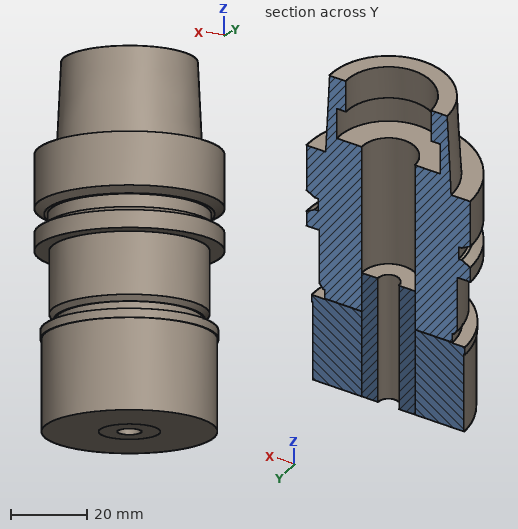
import cadquery as cq

TOTAL_HEIGHT = 100.0
SHOULDER_Z = 75.0
GROOVE_TOP_Z = 60.4
GROOVE_BOTTOM_Z = 53.7
FLANGE_BOTTOM_Z = 48.9
BODY_BOTTOM_Z = 31.8
NUT_TOP_Z = 27.4
NUT_COLLAR_BOTTOM_Z = 25.0

FLANGE_RADIUS = 25.0
TAPER_TOP_RADIUS = 18.0
TAPER_BASE_RADIUS = 19.2
GROOVE_RADIUS = 21.5
BODY_RADIUS = 21.1
NECK_RADIUS = 19.5
NUT_COLLAR_RADIUS = 23.4
NUT_RADIUS = 23.1

GROOVE_BEVEL_WIDTH = 2.6
GROOVE_BEVEL_HEIGHT = 1.5
BODY_BEVEL_WIDTH = 1.2
BODY_BEVEL_HEIGHT = 1.5

SOCKET_RADIUS = 13.0
SOCKET_LIP_DEPTH = 10.0
UNDERCUT_RADIUS = 15.7
SOCKET_DEPTH = 19.4

COLLET_RADIUS = 8.1
COLLET_TOP_Z = 40.0
TOOL_BORE_RADIUS = 3.2

SOCKET_FLOOR_Z = TOTAL_HEIGHT - SOCKET_DEPTH


def revolve_profile(points):
    """Turn a closed outline of (radius, height) points about the Z axis."""
    return cq.Workplane("XZ").polyline(points).close().revolve(360, (0, 0, 0), (0, 1, 0))


def cylinder(radius, bottom_z, top_z):
    return cq.Workplane("XY").workplane(offset=bottom_z).circle(radius).extrude(top_z - bottom_z)


def make_socket():
    """Space inside the taper: straight lip, then a wider undercut."""
    lip_z = TOTAL_HEIGHT - SOCKET_LIP_DEPTH
    return revolve_profile([
        (0, TOTAL_HEIGHT),
        (SOCKET_RADIUS, TOTAL_HEIGHT),
        (SOCKET_RADIUS, lip_z),
        (UNDERCUT_RADIUS, lip_z),
        (UNDERCUT_RADIUS, SOCKET_FLOOR_Z),
        (0, SOCKET_FLOOR_Z),
    ])


def make_holder():
    """Tool holder with taper, grooved flange, body and neck."""
    groove_bevel_radius = FLANGE_RADIUS - GROOVE_BEVEL_WIDTH
    groove_floor_top_z = GROOVE_TOP_Z - GROOVE_BEVEL_HEIGHT
    groove_floor_bottom_z = GROOVE_BOTTOM_Z + GROOVE_BEVEL_HEIGHT
    neck_top_z = BODY_BOTTOM_Z - BODY_BEVEL_HEIGHT
    outside = revolve_profile([
        (0, TOTAL_HEIGHT),
        (TAPER_TOP_RADIUS, TOTAL_HEIGHT),
        (TAPER_BASE_RADIUS, SHOULDER_Z),
        (FLANGE_RADIUS, SHOULDER_Z),
        (FLANGE_RADIUS, GROOVE_TOP_Z),
        (groove_bevel_radius, groove_floor_top_z),
        (GROOVE_RADIUS, groove_floor_top_z),
        (GROOVE_RADIUS, groove_floor_bottom_z),
        (groove_bevel_radius, groove_floor_bottom_z),
        (FLANGE_RADIUS, GROOVE_BOTTOM_Z),
        (FLANGE_RADIUS, FLANGE_BOTTOM_Z),
        (BODY_RADIUS, FLANGE_BOTTOM_Z),
        (BODY_RADIUS, BODY_BOTTOM_Z),
        (BODY_RADIUS - BODY_BEVEL_WIDTH, neck_top_z),
        (NECK_RADIUS, neck_top_z),
        (NECK_RADIUS, NUT_TOP_Z),
        (0, NUT_TOP_Z),
    ])
    collet_bore = cylinder(COLLET_RADIUS, NUT_TOP_Z, SOCKET_FLOOR_Z)
    return outside.cut(make_socket()).cut(collet_bore)


def make_nut():
    """Clamping nut with a low collar at its top and a plain through bore."""
    skirt = cylinder(NUT_RADIUS, 0, NUT_COLLAR_BOTTOM_Z)
    collar = cylinder(NUT_COLLAR_RADIUS, NUT_COLLAR_BOTTOM_Z, NUT_TOP_Z)
    collet_bore = cylinder(COLLET_RADIUS, 0, NUT_TOP_Z)
    return skirt.union(collar).cut(collet_bore)


def make_collet():
    """Straight sleeve that fills the bore from the nut face into the holder."""
    sleeve = cylinder(COLLET_RADIUS, 0, COLLET_TOP_Z)
    tool_bore = cylinder(TOOL_BORE_RADIUS, 0, COLLET_TOP_Z)
    return sleeve.cut(tool_bore)


holder = make_holder()
nut = make_nut()
collet = make_collet()

result = cq.Compound.makeCompound([holder.val(), nut.val(), collet.val()])